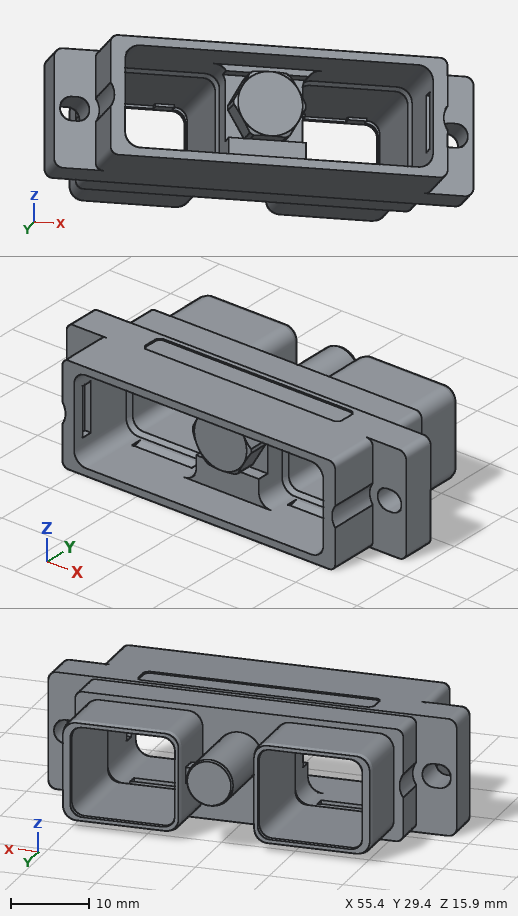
import cadquery as cq
import math


BODY_WIDTH = 44.5
FRONT_HEIGHT = 15.9
REAR_HEIGHT = 15.25
BODY_END = 17.85
EDGE_RADIUS = 1.0
FLANGE_WIDTH = 55.4
FLANGE_FRONT = 7.75
FLANGE_BACK = 12.8
FLANGE_RADIUS = 1.15

SLOT_X = 25.0
SLOT_LENGTH = 3.9
SLOT_HEIGHT = 3.2
GROOVE_WIDTH = 3.15
GROOVE_DEPTH = 0.5

LABEL_LENGTH = 32.0
LABEL_WIDTH = 3.5
LABEL_RADIUS = 0.85
LABEL_DEPTH = 0.2

TOWER_X = 12.95
TOWER_WIDTH = 16.0
TOWER_HEIGHT = 13.6
TOWER_RADIUS = 2.0
TOWER_END = 26.65
TOWER_BEVEL_LENGTH = 0.65
TOWER_BEVEL_INSET = 0.15

CAVITY_WIDTH = 40.65
CAVITY_HEIGHT = 13.6
CAVITY_DEPTH = 5.95
CAVITY_RADIUS = 2.0
WEB_WIDTH = 10.2
TAPER_START = 10.75
TAPER_END = 11.7
TAPER_INSET = 0.35

LIP_THICKNESS = 0.65
OPENING_WIDTH = 14.2
OPENING_HEIGHT = 12.2
OPENING_RADIUS = 1.65
RIB_INNER_X = 2.8
RIB_OUTER_X = 5.3
RIB_LENGTH = 1.1

WEDGE_START = 8.5
WEDGE_END = 10.15
WEDGE_WIDTH = 9.75
WEDGE_DEPTH = 0.5

SLIT_START = 1.85
SLIT_END = 3.5
SLIT_HEIGHT = 7.55
SLIT_DEPTH = 1.0

SCREW_Z = 1.55
HEAD_FLATS = 8.55
HEAD_CORNER_DIAMETER = 9.55
HEAD_CHAMFER_LENGTH = 0.3
HEAD_FRONT = 4.5
RECESS_WIDTH = 11.3
RECESS_FLOOR = 7.75
RECESS_BOTTOM = -2.9
RECESS_TOP = 5.95
SHANK_DIAMETER = 6.25
SHANK_END = 29.35
SHANK_CHAMFER_LENGTH = 0.35
SHANK_CHAMFER_INSET = 0.15
KEY_LENGTH = 2.15
KEY_HEIGHT = 2.15
KEY_REACH = 3.9
KEY_Y = 26.3

POCKET_WIDTH = (CAVITY_WIDTH - WEB_WIDTH) / 2
POCKET_X = (CAVITY_WIDTH + WEB_WIDTH) / 4
TAPERED_WIDTH = POCKET_WIDTH - 2 * TAPER_INSET
TAPERED_HEIGHT = CAVITY_HEIGHT - 2 * TAPER_INSET
TAPERED_RADIUS = CAVITY_RADIUS - TAPER_INSET
LIP_START = TOWER_END - LIP_THICKNESS
SIDES = (-1, 1)


def block(x_range, y_range, z_range):
    """Box between pairs of coordinates along X, Y and Z."""
    (x0, x1), (y0, y1), (z0, z1) = x_range, y_range, z_range
    return cq.Workplane("XY").box(x1 - x0, y1 - y0, z1 - z0, centered=False).translate((x0, y0, z0))


def rounded_block(width, height, radius, y_range, x=0):
    """Box centred on (x, Z = 0) with its four edges along Y rounded."""
    box = block((x - width / 2, x + width / 2), y_range, (-height / 2, height / 2))
    return box.edges("|Y").fillet(radius)


def rod(diameter, y_range, x=0, z=0):
    """Round bar running along Y."""
    y0, y1 = y_range
    return cq.Workplane("XZ", origin=(x, y0, z)).circle(diameter / 2).extrude(y0 - y1)


def make_grooved_body():
    body = rounded_block(BODY_WIDTH, FRONT_HEIGHT, EDGE_RADIUS, (0, FLANGE_BACK))
    body = body.union(rounded_block(BODY_WIDTH, REAR_HEIGHT, EDGE_RADIUS, (FLANGE_FRONT, BODY_END)))
    groove_radius = (GROOVE_WIDTH**2 / 4 + GROOVE_DEPTH**2) / (2 * GROOVE_DEPTH)
    axis_x = BODY_WIDTH / 2 - GROOVE_DEPTH + groove_radius
    for side in SIDES:
        body = body.cut(rod(2 * groove_radius, (0, BODY_END), side * axis_x))
    return body


def make_flange():
    flange = rounded_block(FLANGE_WIDTH, FRONT_HEIGHT, FLANGE_RADIUS, (FLANGE_FRONT, FLANGE_BACK))
    slots = cq.Workplane("XZ").pushPoints([(side * SLOT_X, 0) for side in SIDES])
    flange = flange.cut(slots.slot2D(SLOT_LENGTH, SLOT_HEIGHT).extrude(-FLANGE_BACK))
    return flange


def make_label_panel():
    middle_y = (FLANGE_FRONT + FLANGE_BACK) / 2
    top = cq.Workplane("XY", origin=(0, middle_y, FRONT_HEIGHT / 2))
    return top.rect(LABEL_LENGTH, LABEL_WIDTH).extrude(-LABEL_DEPTH).edges("|Z").fillet(LABEL_RADIUS)


def make_frustum(front_size, rear_size, y_range, x):
    """Solid blending between two rounded rectangles (width, height, radius)."""
    y0, y1 = y_range
    front = cq.Sketch().rect(*front_size[:2]).vertices().fillet(front_size[2])
    rear = cq.Sketch().rect(*rear_size[:2]).vertices().fillet(rear_size[2])
    plane = cq.Workplane("XZ", origin=(x, y0, 0))
    return plane.placeSketch(front, rear.moved(cq.Location(cq.Vector(0, 0, y0 - y1)))).loft()


def make_tower(x):
    bevel_start = TOWER_END - TOWER_BEVEL_LENGTH
    full_size = (TOWER_WIDTH, TOWER_HEIGHT, TOWER_RADIUS)
    end_size = (
        TOWER_WIDTH - 2 * TOWER_BEVEL_INSET,
        TOWER_HEIGHT - 2 * TOWER_BEVEL_INSET,
        TOWER_RADIUS - TOWER_BEVEL_INSET,
    )
    tower = rounded_block(*full_size, (FLANGE_BACK, bevel_start), x)
    return tower.union(make_frustum(full_size, end_size, (bevel_start, TOWER_END), x))


def make_pocket(x):
    """Space inside one tower: full size, tapered, reduced size and rear opening in turn."""
    pocket = rounded_block(POCKET_WIDTH, CAVITY_HEIGHT, CAVITY_RADIUS, (0, TAPER_START), x)
    full_size = (POCKET_WIDTH, CAVITY_HEIGHT, CAVITY_RADIUS)
    reduced_size = (TAPERED_WIDTH, TAPERED_HEIGHT, TAPERED_RADIUS)
    pocket = pocket.union(make_frustum(full_size, reduced_size, (TAPER_START, TAPER_END), x))
    pocket = pocket.union(rounded_block(*reduced_size, (TAPER_END, LIP_START), x))
    opening = rounded_block(OPENING_WIDTH, OPENING_HEIGHT, OPENING_RADIUS, (LIP_START, TOWER_END), x)
    return pocket.union(opening).union(make_wedge(x))


def make_wedge(x):
    floor_z = -CAVITY_HEIGHT / 2
    profile = cq.Workplane("YZ", origin=(x, 0, 0)).polyline(
        [(WEDGE_START, floor_z), (WEDGE_START, floor_z - WEDGE_DEPTH), (WEDGE_END, floor_z)]
    )
    return profile.close().extrude(WEDGE_WIDTH / 2, both=True)


def make_rib(pocket_x, side):
    x_range = sorted(pocket_x + side * offset for offset in (RIB_INNER_X, RIB_OUTER_X))
    return block(x_range, (LIP_START - RIB_LENGTH, LIP_START), (OPENING_HEIGHT / 2, TAPERED_HEIGHT / 2))


def make_slits():
    reach = CAVITY_WIDTH / 2 + SLIT_DEPTH
    return block((-reach, reach), (SLIT_START, SLIT_END), (-SLIT_HEIGHT / 2, SLIT_HEIGHT / 2))


def make_head():
    corner_to_corner = HEAD_FLATS / math.cos(math.pi / 6)
    plane = cq.Workplane("XZ", origin=(0, HEAD_FRONT, SCREW_Z))
    hexagon = plane.polygon(6, corner_to_corner).extrude(HEAD_FRONT - RECESS_FLOOR)
    envelope = rod(HEAD_CORNER_DIAMETER, (HEAD_FRONT, RECESS_FLOOR), 0, SCREW_Z)
    chamfer_inset = (HEAD_CORNER_DIAMETER - HEAD_FLATS) / 2
    return hexagon.intersect(envelope.faces("<Y").chamfer(HEAD_CHAMFER_LENGTH, chamfer_inset))


def make_shank():
    shank = rod(SHANK_DIAMETER, (RECESS_FLOOR, SHANK_END), 0, SCREW_Z)
    shank = shank.faces(">Y").chamfer(SHANK_CHAMFER_LENGTH, SHANK_CHAMFER_INSET)
    key_y = (KEY_Y - KEY_LENGTH / 2, KEY_Y + KEY_LENGTH / 2)
    key_z = (SCREW_Z - KEY_HEIGHT / 2, SCREW_Z + KEY_HEIGHT / 2)
    return shank.union(block((0, KEY_REACH), key_y, key_z))


shell = make_grooved_body().union(make_flange()).cut(make_label_panel())
for side in SIDES:
    shell = shell.union(make_tower(side * TOWER_X))

shell = shell.cut(rounded_block(CAVITY_WIDTH, CAVITY_HEIGHT, CAVITY_RADIUS, (0, CAVITY_DEPTH)))
shell = shell.cut(make_slits())
for side in SIDES:
    shell = shell.cut(make_pocket(side * POCKET_X))
    for rib_side in SIDES:
        shell = shell.union(make_rib(side * POCKET_X, rib_side))

recess_x = (-RECESS_WIDTH / 2, RECESS_WIDTH / 2)
shell = shell.cut(block(recess_x, (CAVITY_DEPTH, RECESS_FLOOR), (RECESS_BOTTOM, RECESS_TOP)))

result = shell.union(make_head()).union(make_shank())